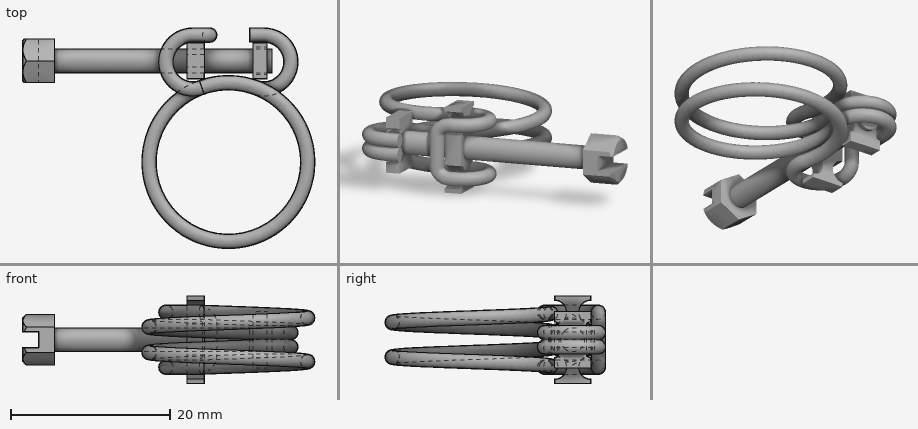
import cadquery as cq
import math


OVERALL_LENGTH = 36.65

WIRE_DIAMETER = 1.8
WIRE_RADIUS = WIRE_DIAMETER / 2
COIL_INNER_RADIUS = 9.05
COIL_RADIUS = COIL_INNER_RADIUS + WIRE_RADIUS
COIL_X = OVERALL_LENGTH - COIL_RADIUS - WIRE_RADIUS
HOOK_RADIUS = 3.37
HOOK_Y = -0.15
HOOK_OFFSET = 4.47
CLIP_Z = 3.45
TAIL_Z = WIRE_RADIUS
CLIP_STRAIGHT = 0.35
BEND_LENGTH = 1.75
BEND_HEIGHT = 1.43
TAIL_LENGTH = 1.8

AXIS_DISTANCE = COIL_RADIUS + HOOK_RADIUS
JOINT_ANGLE = math.degrees(math.asin(HOOK_OFFSET / AXIS_DISTANCE))
COIL_Y = HOOK_Y - math.sqrt(AXIS_DISTANCE ** 2 - HOOK_OFFSET ** 2)
CLIP_HOOK_X = COIL_X - HOOK_OFFSET
TAIL_HOOK_X = COIL_X + HOOK_OFFSET

SHAFT_DIAMETER = 3.0
SCREW_LENGTH = 31.3
HEAD_LENGTH = 4.0
HEAD_FLATS = 5.5
HEAD_FACE_RADIUS = 2.7
SLOT_WIDTH = 1.98
SLOT_DEPTH = 2.0

PLATE_WIDTH = 4.55
CLIP_PLATE_X = 20.6
CLIP_PLATE_THICKNESS = 2.2
CLIP_PLATE_HEIGHT = 11.0
CLIP_GROOVE_RADIUS = 1.5
TAIL_PLATE_X = 28.87
TAIL_PLATE_THICKNESS = 1.8
TAIL_PLATE_HEIGHT = 7.1
TAIL_GROOVE_HEIGHT = 4.4
TAIL_GROOVE_DEPTH = 0.55
TAIL_GROOVE_CORNER = 0.45


def point_around(centre_x, centre_y, radius, angle, z):
    """Point on a horizontal circle, with the angle in degrees counterclockwise from +X."""
    turn = math.radians(angle)
    return cq.Vector(centre_x + radius * math.cos(turn), centre_y + radius * math.sin(turn), z)


def hook_arc(centre_x, start_angle, end_angle, z):
    """Horizontal arc of a hook's centre line."""
    middle_angle = (start_angle + end_angle) / 2
    angles = (start_angle, middle_angle, end_angle)
    return cq.Edge.makeThreePointArc(*[point_around(centre_x, HOOK_Y, HOOK_RADIUS, a, z) for a in angles])


def wire_section(start, direction):
    """Round section of the wire, square to the direction."""
    return cq.Workplane(cq.Plane(origin=start, normal=direction)).circle(WIRE_RADIUS)


def make_clip():
    """U-shaped wire: two hooks around the screw, joined by a bar behind the screw."""
    top_y = HOOK_Y + HOOK_RADIUS
    bend_x = CLIP_HOOK_X + CLIP_STRAIGHT
    bar_x = bend_x + BEND_LENGTH
    bar_z = CLIP_Z - BEND_HEIGHT
    hook_end = cq.Vector(CLIP_HOOK_X, top_y, CLIP_Z)
    bend_start = cq.Vector(bend_x, top_y, CLIP_Z)
    bend_end = cq.Vector(bar_x, top_y, bar_z)
    bar_middle = cq.Vector(bar_x, top_y, 0)

    hook = hook_arc(CLIP_HOOK_X, 270 + JOINT_ANGLE, 90, CLIP_Z)
    diagonal = math.sqrt(0.5)
    bend_middle = cq.Vector(bend_x + BEND_LENGTH * diagonal, top_y, bar_z + BEND_HEIGHT * diagonal)
    bend = cq.Edge.makeSpline(
        [bend_start, bend_middle, bend_end],
        tangents=[cq.Vector(1, 0, 0), cq.Vector(0, 0, -1)],
    )
    path = cq.Wire.assembleEdges([
        hook,
        cq.Edge.makeLine(hook_end, bend_start),
        bend,
        cq.Edge.makeLine(bend_end, bar_middle),
    ])
    half = wire_section(hook.startPoint(), hook.tangentAt(0)).sweep(path)
    return half.union(half.mirror("XY"))


def make_coil(side):
    """One helical turn and a bit, with its tail hook and free end: above Z = 0 for side 1, below for -1."""
    turn_angle = 360 + 2 * JOINT_ANGLE
    rise = CLIP_Z - TAIL_Z
    joint_angle = 90 - JOINT_ANGLE
    joint = point_around(COIL_X, COIL_Y, COIL_RADIUS, joint_angle, TAIL_Z)

    level_direction = point_around(0, 0, 1, joint_angle + 90, 0)
    helix = cq.Wire.makeHelix(rise * 360 / turn_angle, rise, COIL_RADIUS)
    helix = helix.rotate(cq.Vector(), cq.Vector(0, 0, 1), joint_angle)
    helix = helix.translate(cq.Vector(COIL_X, COIL_Y, TAIL_Z))
    turn = wire_section(joint, level_direction).sweep(helix, isFrenet=True)

    hook = hook_arc(TAIL_HOOK_X, 270 - JOINT_ANGLE, 450, TAIL_Z)
    hook_end = hook.endPoint()
    free_end = cq.Edge.makeLine(hook_end, hook_end - cq.Vector(TAIL_LENGTH, 0, 0))
    tail_path = cq.Wire.assembleEdges([hook, free_end])
    tail = wire_section(joint, level_direction).sweep(tail_path)
    upper_coil = turn.union(tail)
    return upper_coil if side > 0 else upper_coil.mirror("XY")


def make_screw():
    """Hexagon-head screw with a driver slot across the head."""
    corner_radius = HEAD_FLATS / math.sqrt(3)
    chamfer = corner_radius - HEAD_FACE_RADIUS
    head = (
        cq.Workplane("YZ").polygon(6, 2 * corner_radius).extrude(HEAD_LENGTH)
        .rotate((0, 0, 0), (1, 0, 0), 90)
    )
    chamfered_round = (
        cq.Workplane("YZ").circle(corner_radius).extrude(HEAD_LENGTH)
        .faces("<X").chamfer(chamfer)
    )
    head = head.intersect(chamfered_round)
    slot = cq.Workplane("XY").box(SLOT_DEPTH, HEAD_FLATS, SLOT_WIDTH, centered=(False, True, True))
    shaft = cq.Workplane("YZ").circle(SHAFT_DIAMETER / 2).extrude(SCREW_LENGTH)
    return head.union(shaft).cut(slot)


def plate_blank(x, thickness, height):
    """Upright plate with the screw hole through it."""
    plate = cq.Workplane("XY").box(thickness, PLATE_WIDTH, height, centered=(False, True, True))
    hole = cq.Workplane("YZ").circle(SHAFT_DIAMETER / 2).extrude(thickness)
    return plate.cut(hole).translate((x, 0, 0))


def make_clip_plate():
    """Plate inside the clip, with a round groove in each side edge beside each clip hook."""
    places = [(y, z) for y in (-PLATE_WIDTH / 2, PLATE_WIDTH / 2) for z in (-CLIP_Z, CLIP_Z)]
    grooves = (
        cq.Workplane("YZ", origin=(CLIP_PLATE_X, 0, 0))
        .pushPoints(places).circle(CLIP_GROOVE_RADIUS).extrude(CLIP_PLATE_THICKNESS)
    )
    return plate_blank(CLIP_PLATE_X, CLIP_PLATE_THICKNESS, CLIP_PLATE_HEIGHT).cut(grooves)


def make_tail_plate():
    """Shorter plate inside the tail hooks, with one shallow round-cornered groove in each side edge."""
    edges = [(-PLATE_WIDTH / 2, 0), (PLATE_WIDTH / 2, 0)]
    grooves = (
        cq.Workplane("YZ", origin=(TAIL_PLATE_X, 0, 0))
        .pushPoints(edges).rect(2 * TAIL_GROOVE_DEPTH, TAIL_GROOVE_HEIGHT).extrude(TAIL_PLATE_THICKNESS)
        .edges("|X").fillet(TAIL_GROOVE_CORNER)
    )
    return plate_blank(TAIL_PLATE_X, TAIL_PLATE_THICKNESS, TAIL_PLATE_HEIGHT).cut(grooves)


screw = make_screw()
clip_plate = make_clip_plate()
tail_plate = make_tail_plate()
clip = make_clip()
coils = [make_coil(side) for side in (1, -1)]

result = cq.Compound.makeCompound([
    screw.val(),
    clip_plate.val(),
    tail_plate.val(),
    clip.val(),
    *[coil.val() for coil in coils],
])